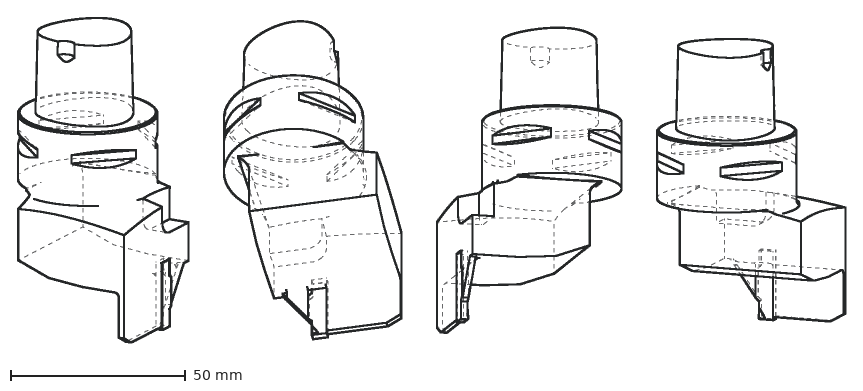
import cadquery as cq
import math


shank_height = 24.0
shank_base_radius = 14.0
shank_top_radius = 13.4
lobe_amplitude = 0.9
curve_points = 36
keyhole_radius = 3.2
keyhole_y = -13.95
keyhole_depth = 3.95
keyhole_tip_depth = 2.8

arc_mid_share = 1 - math.sqrt(0.5)

flange_radius = 40.0 / 2
flange_depth = 20.0
underside_drop = 0.5
underside_inner_radius = 13.4
flange_chamfer = 0.5
slot_floor_distance = 17.55
slot_center_z = -8.15
slot_floor_width = 2.4
slot_mouth_width = 5.1
slot_angles = [45, 135, 225, 315]

head_left = -8.1
head_right = 26.8
head_front = -25.95
head_back = 11.3
head_bottom = -43.4
left_bottom = -38.6
slope_x = 2.0
slope_z = -42.4
flat_start_x = 13.2
flare_width = 2.7
flare_height = 3.3
cone_start_radius = 20.8
cone_start_z = -21.7
cone_drop_per_radius = 0.25
cone_reach = 42.0

notch_left = 20.5
notch_front = -3.95
notch_floor = -31.9
notch_fillet = 4.3

blade_left = 25.0
blade_bottom = -59.05
blade_back = 8.6
blade_corner_width = 4.1
blade_corner_height = 2.35
blade_root_fillet = 1.4

insert_right = 27.05
insert_front = -4.4
insert_back = 0.0
insert_top = -39.9
insert_bottom = shank_height - 84
heel_back = 1.0
heel_top = -45.5
heel_bottom = -54.8
heel_slope = 0.9
tip_left = 24.8
tip_height = 3.3
tip_length = 2.0
tip_bulge_y = 1.2
tip_bulge_z = 1.7
tip_chamfer = 0.3

underside_z = -flange_depth - underside_drop


def lobed_point(radius, angle):
    """Point on a three-lobed curve with one lobe toward +Y."""
    across = radius * math.sin(angle) - lobe_amplitude * math.sin(2 * angle)
    along = radius * math.cos(angle) + lobe_amplitude * math.cos(2 * angle)
    return across, along


def lobed_wire(radius, z):
    angles = [2 * math.pi * i / curve_points for i in range(curve_points)]
    points = [cq.Vector(*lobed_point(radius, angle), z) for angle in angles]
    return cq.Wire.assembleEdges([cq.Edge.makeSpline(points, periodic=True)])


def make_shank():
    base = lobed_wire(shank_base_radius, 0)
    top = lobed_wire(shank_top_radius, shank_height)
    shank = cq.Workplane(obj=cq.Solid.makeLoft([base, top]))
    shoulder_z = shank_height - keyhole_depth
    keyhole = (
        cq.Workplane("XZ")
        .moveTo(0, shank_height)
        .lineTo(keyhole_radius, shank_height)
        .lineTo(keyhole_radius, shoulder_z)
        .lineTo(0, shoulder_z - keyhole_tip_depth)
        .close()
        .revolve(360, (0, 0, 0), (0, 1, 0))
        .translate((0, keyhole_y, 0))
    )
    return shank.cut(keyhole)


def gripper_slot(angle):
    """Tangential groove with a flat floor and flared walls."""
    depth = flange_radius - slot_floor_distance
    wall_slope = (slot_mouth_width - slot_floor_width) / 2 / depth
    cut_depth = 2 * depth
    outer = slot_floor_distance + cut_depth
    half_floor = slot_floor_width / 2
    half_outer = half_floor + wall_slope * cut_depth
    return (
        cq.Workplane("XZ")
        .polyline([
            (slot_floor_distance, slot_center_z - half_floor),
            (slot_floor_distance, slot_center_z + half_floor),
            (outer, slot_center_z + half_outer),
            (outer, slot_center_z - half_outer),
        ])
        .close()
        .extrude(flange_radius, both=True)
        .rotate((0, 0, 0), (0, 0, 1), angle)
    )


def make_flange():
    flange = (
        cq.Workplane("XZ")
        .polyline([
            (0, 0),
            (flange_radius - flange_chamfer, 0),
            (flange_radius, -flange_chamfer),
            (flange_radius, -flange_depth),
            (underside_inner_radius, underside_z),
            (0, underside_z),
        ])
        .close()
        .revolve(360, (0, 0, 0), (0, 1, 0))
    )
    for angle in slot_angles:
        flange = flange.cut(gripper_slot(angle))
    return flange


def flare_middle(wall):
    """Distance from the wall and height of the midpoint of the concave flare."""
    return wall + flare_width * arc_mid_share, underside_z - flare_height * arc_mid_share


def make_head():
    left_mid, mid_z = flare_middle(-head_left)
    flare_bottom = underside_z - flare_height
    width_profile = (
        cq.Workplane("XZ", origin=(0, head_front, 0))
        .moveTo(head_left - flare_width, -flange_depth)
        .lineTo(head_left - flare_width, underside_z)
        .threePointArc((-left_mid, mid_z), (head_left, flare_bottom))
        .lineTo(head_left, left_bottom)
        .lineTo(slope_x, slope_z)
        .lineTo(flat_start_x, head_bottom)
        .lineTo(head_right, head_bottom)
        .lineTo(head_right, -flange_depth)
        .close()
        .extrude(-(head_back + flare_width - head_front))
    )
    back_mid, mid_z = flare_middle(head_back)
    depth_profile = (
        cq.Workplane("YZ", origin=(head_left - flare_width, 0, 0))
        .moveTo(head_front, -flange_depth)
        .lineTo(head_front, head_bottom)
        .lineTo(head_back, head_bottom)
        .lineTo(head_back, flare_bottom)
        .threePointArc((back_mid, mid_z), (head_back + flare_width, underside_z))
        .lineTo(head_back + flare_width, -flange_depth)
        .close()
        .extrude(head_right - head_left + flare_width)
    )
    ring_width = cone_start_radius - flange_radius
    ring_height = underside_z - cone_start_z
    cone_end_z = cone_start_z - (cone_reach - cone_start_radius) * cone_drop_per_radius
    top_limit = (
        cq.Workplane("XZ")
        .moveTo(0, -flange_depth)
        .lineTo(flange_radius, -flange_depth)
        .lineTo(flange_radius, underside_z)
        .threePointArc(
            (flange_radius + ring_width * arc_mid_share, cone_start_z + ring_height * arc_mid_share),
            (cone_start_radius, cone_start_z),
        )
        .lineTo(cone_reach, cone_end_z)
        .lineTo(cone_reach, insert_bottom)
        .lineTo(0, insert_bottom)
        .close()
        .revolve(360, (0, 0, 0), (0, 1, 0))
    )
    return width_profile.intersect(depth_profile).intersect(top_limit).cut(make_notch())


def make_notch():
    """Corner clearance above the blade with a round at the foot of its front wall."""
    length = head_right - notch_left
    depth = head_back + flare_width - notch_front
    height = -flange_depth - notch_floor
    return (
        cq.Workplane("XY", origin=(notch_left, notch_front, notch_floor))
        .box(length, depth, height, centered=False)
        .edges("<Y and <Z")
        .fillet(notch_fillet)
    )


def make_blade():
    blade = (
        cq.Workplane("YZ", origin=(blade_left, 0, 0))
        .polyline([
            (head_front, head_bottom),
            (blade_back, head_bottom),
            (heel_back, heel_bottom + heel_slope),
            (insert_back, heel_bottom),
            (insert_front, blade_bottom),
            (head_front + blade_corner_width, blade_bottom),
            (head_front, blade_bottom + blade_corner_height),
        ])
        .close()
        .extrude(head_right - blade_left)
    )
    mid_offset = arc_mid_share * blade_root_fillet
    center_x = blade_left - blade_root_fillet
    center_z = head_bottom - blade_root_fillet
    root = (
        cq.Workplane("XZ", origin=(0, head_front, 0))
        .moveTo(center_x, head_bottom)
        .threePointArc((blade_left - mid_offset, head_bottom - mid_offset), (blade_left, center_z))
        .lineTo(blade_left, head_bottom)
        .close()
        .extrude(-(blade_back - blade_root_fillet - head_front))
    )
    return blade.union(root)


def insert_body():
    return (
        cq.Workplane("YZ", origin=(blade_left, 0, 0))
        .polyline([
            (insert_front, insert_bottom),
            (insert_front, insert_top),
            (insert_back, insert_top),
            (insert_back, heel_top + heel_slope),
            (heel_back, heel_top),
            (heel_back, heel_bottom + heel_slope),
            (insert_back, heel_bottom),
            (insert_back, insert_bottom),
        ])
        .close()
        .extrude(insert_right - blade_left)
    )


def make_insert():
    tip = (
        cq.Workplane("YZ", origin=(tip_left, 0, 0))
        .moveTo(insert_back, insert_bottom)
        .lineTo(insert_back, insert_bottom + tip_height)
        .threePointArc(
            (insert_back - tip_bulge_y, insert_bottom + tip_bulge_z),
            (insert_back - tip_length, insert_bottom),
        )
        .close()
        .extrude(blade_left - tip_left)
    )
    flare = (
        cq.Workplane("XZ", origin=(0, insert_back, 0))
        .polyline([
            (tip_left, insert_bottom + tip_chamfer),
            (blade_left, insert_bottom + tip_height),
            (blade_left, insert_bottom),
            (tip_left + tip_chamfer, insert_bottom),
        ])
        .close()
        .extrude(tip_length)
    )
    return insert_body().union(tip.intersect(flare))


def insert_pocket():
    """Open seat for the insert, cleared past the blade on both faces."""
    clearance_width = blade_root_fillet
    clearance = (
        cq.Workplane("XY", origin=(blade_left - clearance_width, insert_front, insert_bottom))
        .box(
            clearance_width,
            heel_back - insert_front,
            head_bottom - insert_bottom,
            centered=False,
        )
    )
    return insert_body().union(clearance)


holder = make_shank().union(make_flange()).union(make_head()).union(make_blade())
holder = holder.cut(insert_pocket())
insert = make_insert()

result = cq.Compound.makeCompound([holder.val(), insert.val()])